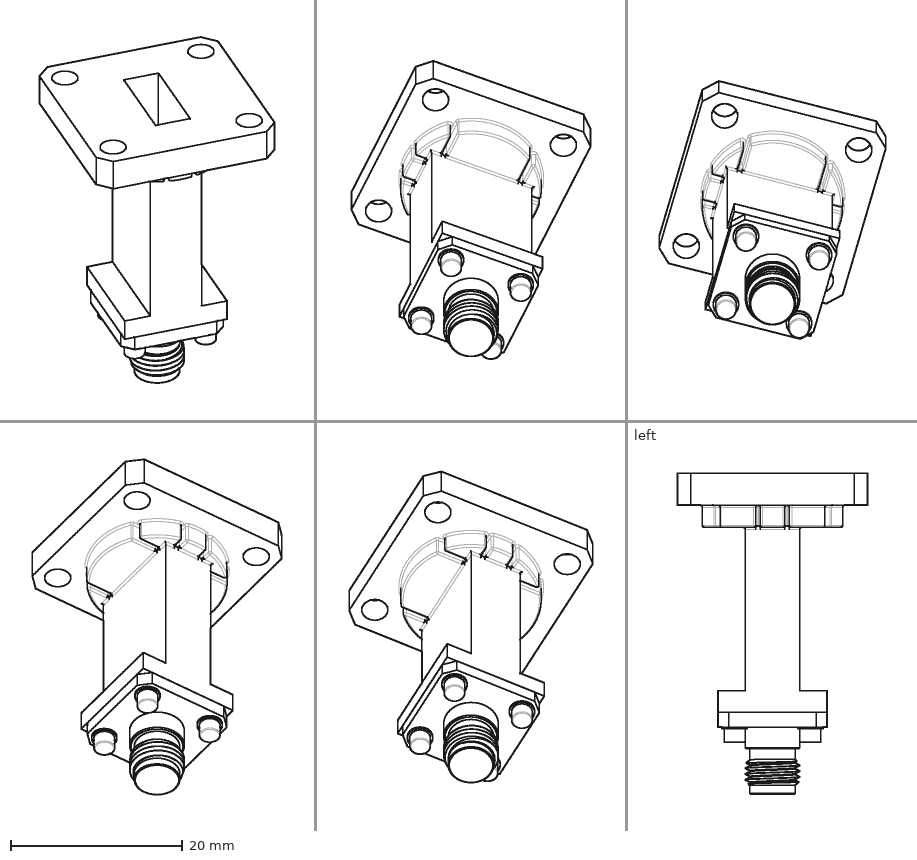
import cadquery as cq
import math

total_height = 37.45
flange_thickness = 3.75
collar_thickness = 2.6
base_thickness = 2.5
mount_thickness = 1.72
barrel_length = 2.55
mount_bottom = 7.83
mount_top = mount_bottom + mount_thickness
base_top = mount_top + base_thickness
flange_bottom = total_height - flange_thickness
collar_bottom = flange_bottom - collar_thickness
barrel_bottom = mount_bottom - barrel_length

flange_side = 22.2
flange_corner_chamfer = 1.57
flange_hole_diameter = 3.05
flange_hole_spacing_x = 16.22
flange_hole_spacing_y = 16.95

tube_width = 12.75
tube_depth = 6.35
cavity_width = 10.68
cavity_depth = 4.3
base_side = tube_width

collar_diameter = 16.4
collar_fillet = 0.245
slot_width = 0.52
slot_x = 4.87
slot_y = 1.7

mount_corner_chamfer = 1.27
barrel_diameter = 6.35
barrel_chamfer = 0.15
neck_diameter = 5.32
neck_chamfer = 0.1
thread_diameter = 6.35
thread_pitch = 0.67
thread_crest_width = 0.05
thread_root_width = 0.65
thread_bottom = 1.0
thread_top = 4.05
thread_crest_height = 2.85
thread_root_overlap = 0.07

screw_head_diameter = 2.45
screw_head_height = 1.8
screw_rim_diameter = 2.95
screw_rim_thickness = 0.22
screw_edge_fillet = 0.1
screw_offset = 4.42


def block(width, depth, bottom, top):
    """Box centred on the Z axis between two heights."""
    return cq.Workplane("XY", origin=(0, 0, bottom)).rect(width, depth).extrude(top - bottom)


def cylinder(diameter, bottom, top):
    """Cylinder on the Z axis between two heights."""
    return cq.Workplane("XY", origin=(0, 0, bottom)).circle(diameter / 2).extrude(top - bottom)


def collar_slots(bottom, top):
    """Eight slots that run in to the tube faces: two on each face."""
    length = collar_diameter / 2
    across_broad = (tube_depth + length) / 2
    across_narrow = (tube_width + length) / 2
    layout = cq.Workplane("XY", origin=(0, 0, bottom))
    broad_points = [(x, y) for x in (-slot_x, slot_x) for y in (-across_broad, across_broad)]
    narrow_points = [(x, y) for x in (-across_narrow, across_narrow) for y in (-slot_y, slot_y)]
    broad_slots = layout.pushPoints(broad_points).rect(slot_width, length).extrude(top - bottom)
    narrow_slots = layout.pushPoints(narrow_points).rect(length, slot_width).extrude(top - bottom)
    return broad_slots.add(narrow_slots).combine()


def make_collar():
    """Slotted disc with rounded slot floors, slot mouths and lower edges."""
    disc = cylinder(collar_diameter, collar_bottom, flange_bottom)
    collar = disc.cut(collar_slots(collar_bottom, flange_bottom))
    collar = collar.edges("|Z").fillet(collar_fillet)
    return collar.faces("<Z").edges().fillet(collar_fillet)


def make_cove():
    """Concave rounding between the tube and the underside of the collar, open at the slots."""
    bottom = collar_bottom - collar_fillet
    top = collar_bottom + collar_fillet
    half_width = tube_width / 2 + collar_fillet
    half_depth = tube_depth / 2 + collar_fillet
    cove = block(2 * half_width, 2 * half_depth, bottom, top)
    for side in (-1, 1):
        along_x = (
            cq.Workplane("YZ", origin=(-half_width, side * half_depth, bottom))
            .circle(collar_fillet)
            .extrude(2 * half_width)
        )
        along_y = (
            cq.Workplane("XZ", origin=(side * half_width, half_depth, bottom))
            .circle(collar_fillet)
            .extrude(2 * half_depth)
        )
        cove = cove.cut(along_x).cut(along_y)
    return cove.cut(collar_slots(bottom, top))


def make_waveguide():
    flange = (
        block(flange_side, flange_side, flange_bottom, total_height)
        .edges("|Z")
        .chamfer(flange_corner_chamfer)
    )
    tube = block(tube_width, tube_depth, base_top, flange_bottom)
    base = block(base_side, base_side, mount_top, base_top)
    collar_joint = cq.selectors.BoxSelector(
        (-collar_diameter / 2, -collar_diameter / 2, flange_bottom - collar_fillet),
        (collar_diameter / 2, collar_diameter / 2, flange_bottom + collar_fillet),
    )
    body = flange.union(make_collar()).union(tube)
    body = body.edges(collar_joint).fillet(collar_fillet)
    body = body.union(make_cove()).union(base)
    holes = (
        cq.Workplane("XY", origin=(0, 0, flange_bottom))
        .rect(flange_hole_spacing_x, flange_hole_spacing_y, forConstruction=True)
        .vertices()
        .circle(flange_hole_diameter / 2)
        .extrude(flange_thickness)
    )
    cavity = block(cavity_width, cavity_depth, base_top, total_height)
    return body.cut(holes).cut(cavity)


def make_thread():
    """Helical ridge that tapers down to the neck at both ends of the threaded length."""
    root_radius = neck_diameter / 2 - thread_root_overlap
    crest_radius = thread_diameter / 2
    turns_below = math.ceil((thread_crest_height - thread_bottom) / thread_pitch) + 1
    turns_above = math.ceil((thread_top - thread_crest_height) / thread_pitch) + 1
    start = thread_crest_height - turns_below * thread_pitch
    height = (turns_below + turns_above) * thread_pitch
    helix = cq.Wire.makeHelix(thread_pitch, height, root_radius, center=cq.Vector(0, 0, start))
    ridge = (
        cq.Workplane("XZ", origin=(0, 0, start))
        .moveTo(root_radius, -thread_root_width / 2)
        .lineTo(crest_radius, -thread_crest_width / 2)
        .lineTo(crest_radius, thread_crest_width / 2)
        .lineTo(root_radius, thread_root_width / 2)
        .close()
        .sweep(cq.Workplane(obj=helix), isFrenet=True)
    )
    end_taper = thread_diameter - neck_diameter
    envelope_diameter = neck_diameter + 2 * end_taper
    envelope = cylinder(envelope_diameter, thread_bottom, thread_top).edges().chamfer(end_taper)
    return ridge.intersect(envelope)


def make_connector():
    mount = (
        block(base_side, base_side, mount_bottom, mount_top)
        .edges("|Z")
        .chamfer(mount_corner_chamfer)
    )
    barrel = cylinder(barrel_diameter, barrel_bottom, mount_bottom).faces("<Z").chamfer(barrel_chamfer)
    neck = cylinder(neck_diameter, 0, barrel_bottom).faces("<Z").chamfer(neck_chamfer)
    return mount.union(barrel).union(neck).union(make_thread())


def make_screw(x, y):
    """Screw head under the mounting plate, with a thin wider rim that bears on the plate."""
    head = cylinder(screw_head_diameter, mount_bottom - screw_head_height, mount_bottom)
    head = head.faces("<Z").edges().fillet(screw_edge_fillet)
    rim = cylinder(screw_rim_diameter, mount_bottom - screw_rim_thickness, mount_bottom)
    return head.union(rim).translate((x, y, 0))


waveguide = make_waveguide()
connector = make_connector()
screws = [make_screw(x * screw_offset, y * screw_offset) for x in (-1, 1) for y in (-1, 1)]

result = cq.Compound.makeCompound(
    [waveguide.val(), connector.val(), *[screw.val() for screw in screws]]
)